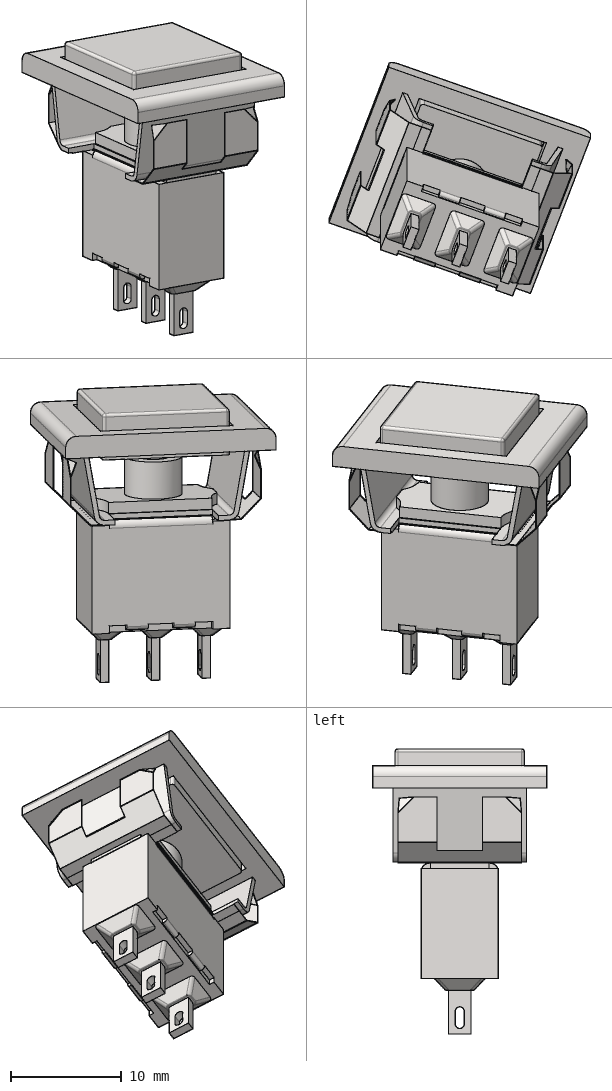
import cadquery as cq
import math


boss_bottom = 3.97
body_bottom = 5.02
strap_bottom = 5.72
end_block_top = 14.95
body_top = 15.45
collar_top = 17.02
bushing_top = 20.45
cap_bottom = 21.5
bezel_bottom = 22.2
bezel_top = 24.23
overall_height = 25.75

bezel_length = 19.4
bezel_width = 15.7
bezel_round = 0.98
window_length = 12.23
window_width = 12.05
cap_side = 11.7
cap_round = 0.28
plunger_diameter = 2.94
bushing_diameter = 5.2

body_length = 12.72
body_width = 6.95
strap_length = 9.53
strap_bend = 0.75
core_length = 12.65
core_width = 5.3
base_width = 5.97
tab_length = 1.98
tab_offset = 2.16
tab_bottom = 5.2
tab_bend = 0.35
collar_length = 11.38
collar_width = 6.28
collar_notch_radius = 3.1

terminal_pitch = 4.69
terminal_thickness = 0.77
terminal_width = 2.05
eyelet_length = 1.93
eyelet_width = 0.8
eyelet_height = 1.5
boss_length = 3.25
boss_width = 4.58
boss_corner = 0.33
boss_inset = 1.0
boss_tip_round = 0.13

bracket_width = window_width
bracket_sheet = 0.46
bracket_lean = 10
bracket_bend = 0.98
bracket_top_half = 7.7
bracket_neck_width = 6.6

clip_sheet = 0.08
clip_width = 11.18
clip_neck_width = 6.85
clip_flat_half = 6.95
clip_half_length = 8.8
clip_rise = 45
clip_top = 21.42
clip_slot_width = 4.12
clip_slot_bottom = 16.58
ear_leg = 1.45
ear_fold = 33

bracket_bottom = body_top + clip_sheet


def block(length, width, bottom, top):
    """Box centred on the Z axis between two heights."""
    return cq.Workplane("XY", origin=(0, 0, bottom)).rect(length, width).extrude(top - bottom)


def post(diameter, bottom, top):
    """Round post on the Z axis between two heights."""
    return cq.Workplane("XY", origin=(0, 0, bottom)).circle(diameter / 2).extrude(top - bottom)


def profile_along_y(points, width):
    """Closed XZ outline extruded symmetrically in Y."""
    return cq.Workplane("XZ").polyline(points).close().extrude(width / 2, both=True)


def mirrored(points):
    """Complete a right-hand half outline with its mirror image about X = 0."""
    return points + [(-x, z) for x, z in reversed(points)]


def make_bezel():
    bezel = block(bezel_length, bezel_width, bezel_bottom, bezel_top)
    bezel = bezel.faces(">Z").edges("|Y").fillet(bezel_round)
    return bezel.cut(block(window_length, window_width, bezel_bottom, bezel_top))


def make_button():
    cap = block(cap_side, cap_side, cap_bottom, overall_height)
    cap = cap.edges("|Z or >Z").fillet(cap_round)
    plunger = post(plunger_diameter, bushing_top, cap_bottom)
    bushing = post(bushing_diameter, collar_top, bushing_top)
    return cap.union(plunger).union(bushing)


def make_collar():
    """Raised block whose corners are hollowed by arcs that start at the strap edges."""
    collar = block(collar_length, collar_width, body_top, collar_top)
    notches = (
        cq.Workplane("XY", origin=(0, 0, body_top))
        .rect(strap_length + 2 * collar_notch_radius, collar_width, forConstruction=True)
        .vertices()
        .circle(collar_notch_radius)
        .extrude(collar_top - body_top)
    )
    return collar.cut(notches)


def make_body():
    """Moulded end blocks and core, wrapped by a metal strap with tabs under the base."""
    ends = block(body_length, body_width, body_bottom, end_block_top)
    ends = ends.cut(block(strap_length, body_width, body_bottom, end_block_top))
    core = block(core_length, core_width, body_bottom, body_top)
    base = block(strap_length, base_width, body_bottom, strap_bottom)
    strap = block(strap_length, body_width, strap_bottom, body_top)
    strap = strap.faces(">Z").edges("|X").fillet(strap_bend)
    body = ends.union(core).union(base).union(strap)
    tab = block(tab_length, body_width, tab_bottom, strap_bottom)
    tab = tab.faces("<Z").edges("|X").fillet(tab_bend)
    for side in (-1, 1):
        body = body.union(tab.translate((side * tab_offset, 0, 0)))
    return body


def make_terminal():
    """Blade with a solder eyelet, rising from a tapered boss."""
    root = cq.Sketch().rect(boss_length, boss_width).vertices().fillet(boss_corner)
    root = root.moved(cq.Location((0, 0, body_bottom)))
    tip_length = boss_length - 2 * boss_inset
    tip_width = boss_width - 2 * boss_inset
    tip = cq.Sketch().rect(tip_length, tip_width).vertices().fillet(boss_corner)
    tip = tip.moved(cq.Location((0, 0, boss_bottom)))
    boss = (
        cq.Workplane("XY")
        .placeSketch(tip, root)
        .loft()
        .faces("<Z")
        .edges()
        .fillet(boss_tip_round)
    )
    blade = block(terminal_thickness, terminal_width, 0, body_bottom)
    eyelet = (
        cq.Workplane("YZ", origin=(0, 0, eyelet_height))
        .slot2D(eyelet_length, eyelet_width, 90)
        .extrude(terminal_thickness, both=True)
    )
    return boss.union(blade).cut(eyelet)


def clear_neck(sheet, width, neck_width, bottom, top):
    """Cut the sheet back to the neck between the wings, front and back."""
    gap = block(strap_length, width, bottom, top).cut(block(strap_length, neck_width, bottom, top))
    return sheet.cut(gap)


def make_bracket():
    lean = math.radians(bracket_lean)
    wall = bracket_sheet / math.cos(lean)
    floor = bracket_bottom + bracket_sheet

    def outer_half(z):
        return bracket_top_half - (bezel_bottom - z) * math.tan(lean)

    outside = [(outer_half(bracket_bottom), bracket_bottom), (bracket_top_half, bezel_bottom)]
    inside = [(outer_half(floor) - wall, floor), (bracket_top_half - wall, bezel_bottom)]
    shell = profile_along_y(mirrored(outside), bracket_width)
    shell = shell.faces("<Z").edges("|Y").fillet(bracket_bend)
    hollow = profile_along_y(mirrored(inside), bracket_width)
    hollow = hollow.faces("<Z").edges("|Y").fillet(bracket_bend - bracket_sheet)
    return clear_neck(shell.cut(hollow), bracket_width, bracket_neck_width, bracket_bottom, floor)


def make_ear():
    """Corner of a clip end folded inward about a diagonal line."""
    corner_y = clip_width / 2
    fold_low = (clip_half_length, corner_y, clip_top - ear_leg)
    fold_high = (clip_half_length, corner_y - ear_leg, clip_top)
    ear = (
        cq.Workplane("YZ", origin=(clip_half_length, 0, 0))
        .polyline([fold_low[1:], (corner_y, clip_top), fold_high[1:]])
        .close()
        .extrude(-clip_sheet)
    )
    return ear.rotate(fold_low, fold_high, ear_fold)


def make_clip():
    rise = math.radians(clip_rise)
    bend_top = body_top + (clip_half_length - clip_flat_half) * math.tan(rise)
    miter = clip_sheet * math.tan(rise / 2)
    upper_miter = clip_sheet * math.tan((math.pi / 2 - rise) / 2)
    outside = [(clip_flat_half, body_top), (clip_half_length, bend_top), (clip_half_length, clip_top)]
    inner_half = clip_half_length - clip_sheet
    inside = [
        (clip_flat_half - miter, bracket_bottom),
        (inner_half, bend_top + upper_miter),
        (inner_half, clip_top),
    ]
    clip = profile_along_y(mirrored(outside), clip_width).cut(profile_along_y(mirrored(inside), clip_width))
    clip = clip.cut(block(2 * clip_half_length, clip_slot_width, clip_slot_bottom, clip_top))
    clip = clear_neck(clip, clip_width, clip_neck_width, body_top, bracket_bottom)
    corners = (
        cq.Workplane("YZ")
        .polyline([
            (clip_width / 2, clip_top - ear_leg),
            (clip_width / 2, clip_top),
            (clip_width / 2 - ear_leg, clip_top),
        ])
        .close()
        .extrude(clip_half_length, both=True)
    )
    clip = clip.cut(corners).cut(corners.mirror("XZ"))
    ear = make_ear()
    ear_pair = ear.union(ear.mirror("XZ"))
    return clip.union(ear_pair).union(ear_pair.mirror("YZ"))


result = make_body().union(make_collar()).union(make_bracket()).union(make_clip())
result = result.union(make_bezel()).union(make_button())
terminal = make_terminal()
for position in (-1, 0, 1):
    result = result.union(terminal.translate((position * terminal_pitch, 0, 0)))